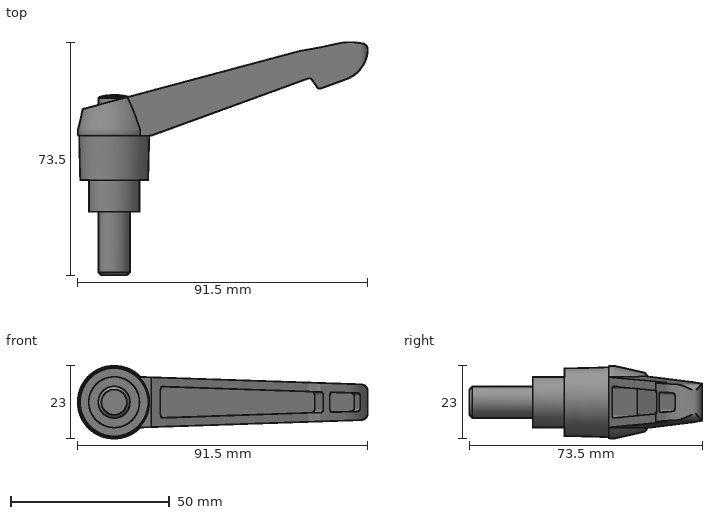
import cadquery as cq
import math


STUD_RADIUS = 5.0
STUD_LENGTH_BELOW_COLLAR = 20.0
STUD_CHAMFER = 1.0
STUD_SHOULDER_Y = 35.8
STUD_DOME_EDGE_Y = 36.3
STUD_DOME_EDGE_RADIUS = 4.5
STUD_TOP_Y = 36.9

COLLAR_RADIUS = 8.0
COLLAR_TOP_Y = 10.0
BODY_BOTTOM_RADIUS = 10.75
BODY_TOP_RADIUS = 11.1
BODY_TOP_Y = 24.0
RING_RADIUS = 11.5
RING_LOWER_RADIUS = 11.35
RING_LOWER_Y = 24.5
RING_TOP_Y = 25.7
HEAD_HALF_ANGLE = math.radians(12.8)
HEAD_TOP_Y = 40.0

TOP_SLOPE = math.tan(math.radians(15))
UNDERSIDE_ANGLE = math.radians(20)
UNDERSIDE_SLOPE = math.tan(UNDERSIDE_ANGLE)
NOTCH_SLOPE = math.tan(math.radians(55))
TOP_Y_AT_AXIS = 35.05
UNDERSIDE_START_X = 11.7
GRIP_DROP = 4.6
NOTCH_INNER_X = 61.86
NOTCH_FILLET = 1.0
GRIP_LINE_END_X = 73.0
CROWN_START_X = 58.5
CROWN_MIDDLE = (70.4, 53.05)
CROWN_PEAK = (75.0, 53.49)
CROWN_END = (78.4, 53.05)
TIP_POINT = (80.0, 50.8)
ARM_HALF_WIDTH_AT_AXIS = 8.28
ARM_HALF_WIDTH_AT_TIP = 5.6
TIP_CORNER_RADIUS = 2.4

LONG_POCKET_START_X = 14.6
LONG_POCKET_END_X = 65.9
TIP_POCKET_START_X = 68.0
TIP_POCKET_END = (77.4, 45.2)
POCKET_WALL = 2.8
POCKET_CORNER_RADIUS = 1.0
POCKET_FLOOR_BELOW_TOP = 5.3
POCKET_BLANK_DEPTH = 25.0


def top_y(x):
    return TOP_Y_AT_AXIS + TOP_SLOPE * x


def underside_y(x):
    return BODY_TOP_Y + UNDERSIDE_SLOPE * (x - UNDERSIDE_START_X)


def grip_y(x):
    return underside_y(x) - GRIP_DROP


def arm_half_width(x):
    taper = (ARM_HALF_WIDTH_AT_AXIS - ARM_HALF_WIDTH_AT_TIP) / TIP_POINT[0]
    return ARM_HALF_WIDTH_AT_AXIS - taper * x


POCKET_MOUTHS = (
    (
        (LONG_POCKET_START_X, underside_y(LONG_POCKET_START_X)),
        (LONG_POCKET_END_X, grip_y(LONG_POCKET_END_X)),
    ),
    (
        (TIP_POCKET_START_X, grip_y(TIP_POCKET_START_X)),
        TIP_POCKET_END,
    ),
)


def revolve_about_stud(outline):
    return outline.close().revolve(360, (0, 0, 0), (0, 1, 0))


def make_stud():
    bottom_y = -STUD_LENGTH_BELOW_COLLAR
    dome_rise = STUD_TOP_Y - STUD_DOME_EDGE_Y
    dome_radius = (STUD_DOME_EDGE_RADIUS**2 + dome_rise**2) / (2 * dome_rise)
    return revolve_about_stud(
        cq.Workplane("XY")
        .moveTo(0, bottom_y)
        .lineTo(STUD_RADIUS - STUD_CHAMFER, bottom_y)
        .lineTo(STUD_RADIUS, bottom_y + STUD_CHAMFER)
        .lineTo(STUD_RADIUS, STUD_SHOULDER_Y)
        .lineTo(STUD_DOME_EDGE_RADIUS, STUD_DOME_EDGE_Y)
        .radiusArc((0, STUD_TOP_Y), -dome_radius)
    )


def below_top_plane():
    """Everything under the sloping top plane that the hub and the arm share."""
    reach = 2 * RING_RADIUS
    return (
        cq.Workplane("XY")
        .moveTo(-reach, 0)
        .lineTo(reach, 0)
        .lineTo(reach, top_y(reach))
        .lineTo(-reach, top_y(-reach))
        .close()
        .extrude(reach, both=True)
    )


def make_hub():
    head_shrink = (HEAD_TOP_Y - RING_TOP_Y) * math.tan(HEAD_HALF_ANGLE)
    head_top_radius = RING_RADIUS - head_shrink
    hub = revolve_about_stud(
        cq.Workplane("XY")
        .moveTo(0, 0)
        .lineTo(COLLAR_RADIUS, 0)
        .lineTo(COLLAR_RADIUS, COLLAR_TOP_Y)
        .lineTo(BODY_BOTTOM_RADIUS, COLLAR_TOP_Y)
        .lineTo(BODY_TOP_RADIUS, BODY_TOP_Y)
        .lineTo(RING_LOWER_RADIUS, BODY_TOP_Y)
        .lineTo(RING_RADIUS, RING_LOWER_Y)
        .lineTo(RING_RADIUS, RING_TOP_Y)
        .lineTo(head_top_radius, HEAD_TOP_Y)
        .lineTo(0, HEAD_TOP_Y)
    )
    return hub.intersect(below_top_plane())


def make_side_profile():
    """Side outline of the arm, as thick as the hub, with the finger notch rounded."""
    notch_run = GRIP_DROP / (NOTCH_SLOPE + UNDERSIDE_SLOPE)
    inner_x = NOTCH_INNER_X
    outer_x = inner_x + notch_run
    inner_corner = (inner_x, underside_y(inner_x))
    outer_corner = (outer_x, grip_y(outer_x))
    profile = (
        cq.Workplane("XY")
        .moveTo(0, BODY_TOP_Y)
        .lineTo(UNDERSIDE_START_X, BODY_TOP_Y)
        .lineTo(*inner_corner)
        .lineTo(*outer_corner)
        .lineTo(GRIP_LINE_END_X, grip_y(GRIP_LINE_END_X))
        .tangentArcPoint(TIP_POINT, relative=False)
        .tangentArcPoint(CROWN_END, relative=False)
        .threePointArc(CROWN_PEAK, CROWN_MIDDLE)
        .tangentArcPoint((CROWN_START_X, top_y(CROWN_START_X)), relative=False)
        .lineTo(0, TOP_Y_AT_AXIS)
        .close()
        .extrude(RING_RADIUS, both=True)
    )
    for x, y in (inner_corner, outer_corner):
        profile = profile.edges(cq.selectors.NearestToPointSelector((x, y, 0))).fillet(NOTCH_FILLET)
    return profile


def make_plan():
    """Tapering plan of the arm with rounded tip corners."""
    tip_x = TIP_POINT[0]
    return (
        cq.Workplane("XZ")
        .polyline(
            [
                (0, -arm_half_width(0)),
                (tip_x, -arm_half_width(tip_x)),
                (tip_x, arm_half_width(tip_x)),
                (0, arm_half_width(0)),
            ]
        )
        .close()
        .extrude(-tip_x)
        .edges("|Y and >X")
        .fillet(TIP_CORNER_RADIUS)
    )


def below_pocket_floor():
    """Everything under the pocket floor, which is parallel to the top plane."""
    reach = TIP_POINT[0]
    return (
        cq.Workplane("XY")
        .lineTo(reach, 0)
        .lineTo(reach, top_y(reach) - POCKET_FLOOR_BELOW_TOP)
        .lineTo(0, TOP_Y_AT_AXIS - POCKET_FLOOR_BELOW_TOP)
        .close()
        .extrude(reach, both=True)
    )


def make_pocket(start, end):
    """Pocket between two mouth points, cut square to the underside and tapering with the arm."""
    cosine = math.cos(UNDERSIDE_ANGLE)
    sine = math.sin(UNDERSIDE_ANGLE)
    base_y = grip_y(0)
    grip_plane = cq.Plane(origin=(0, base_y, 0), xDir=(cosine, sine, 0), normal=(-sine, cosine, 0))
    near, far = (x * cosine + (y - base_y) * sine for x, y in (start, end))
    near_half_width = arm_half_width(start[0]) - POCKET_WALL
    far_half_width = arm_half_width(end[0]) - POCKET_WALL
    blank = (
        cq.Workplane(grip_plane)
        .moveTo(near, -near_half_width)
        .lineTo(far, -far_half_width)
        .lineTo(far, far_half_width)
        .lineTo(near, near_half_width)
        .close()
        .extrude(POCKET_BLANK_DEPTH)
    )
    corners = cq.selectors.ParallelDirSelector(grip_plane.zDir)
    rounded = blank.edges(corners).fillet(POCKET_CORNER_RADIUS)
    return rounded.intersect(below_pocket_floor())


result = make_side_profile().intersect(make_plan())
for pocket_start, pocket_end in POCKET_MOUTHS:
    result = result.cut(make_pocket(pocket_start, pocket_end))
result = result.union(make_hub()).union(make_stud())